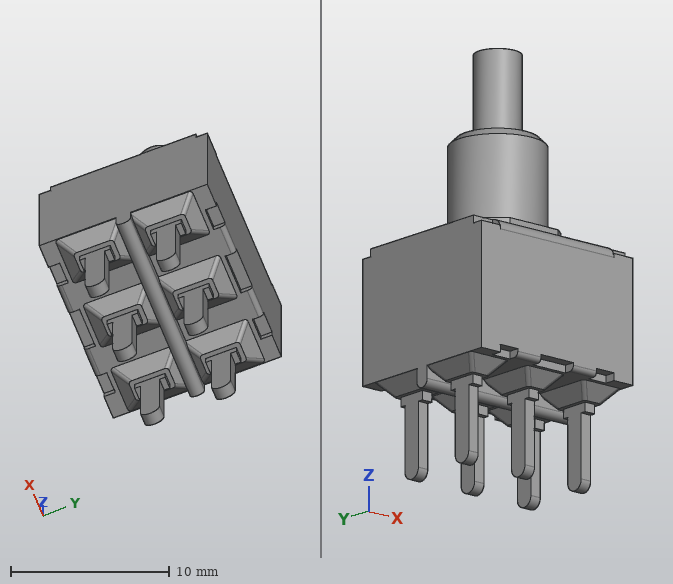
import cadquery as cq
import math

total_height = 28.42
pin_depth = 6.62
plunger_top = total_height - pin_depth

housing_length = 12.7
housing_width = 11.42
housing_height = 8.9

edge_depth = 0.77
edge_drop = 0.5
bend_length = 9.52
top_bend_radius = edge_depth
corner_length = (housing_length - bend_length) / 2

tab_length = 1.95
tab_offset = 2.33
tab_bend_radius = 0.35

flange_diameter = 8.01
flange_width = 6.93
flange_height = 1.02
bushing_diameter = 6.37
bushing_height = 7.3
bushing_chamfer = 0.5
bushing_flat_distance = 2.55
plunger_diameter = 3.1
flange_top = housing_height + flange_height
bushing_top = housing_height + bushing_height

rib_width = 1.0
rib_depth = 1.35

pin_pitch_x = 4.72
pin_pitch_y = 4.83
pin_thickness = 0.8
pin_width = 1.3
shoulder_width = 2.07
shoulder_depth = 1.62

seal_margin = 0.3
seal_height = 1.0
seal_spread = 0.88
seal_corner_radius = 0.3
seal_taper = math.degrees(math.atan2(seal_spread, seal_height))


def block(length, width, bottom, top):
    """Box centred on the Z axis between two heights."""
    return cq.Workplane("XY").workplane(offset=bottom).rect(length, width).extrude(top - bottom)


def cylinder(diameter, bottom, top):
    """Upright cylinder on the Z axis between two heights."""
    return cq.Workplane("XY").workplane(offset=bottom).circle(diameter / 2).extrude(top - bottom)


def make_housing():
    housing = block(housing_length, housing_width, 0, housing_height)
    housing = housing.edges("|X and >Z").fillet(top_bend_radius)

    corner_x = (housing_length - corner_length) / 2
    edge_y = (housing_width - edge_depth) / 2
    for side in (-1, 1):
        for end in (-1, 1):
            step = block(corner_length, edge_depth, housing_height - edge_drop, housing_height)
            ledge = block(
                corner_length, edge_depth, housing_height - top_bend_radius, housing_height - edge_drop
            )
            position = (end * corner_x, side * edge_y, 0)
            housing = housing.union(ledge.translate(position)).cut(step.translate(position))

        housing = housing.cut(block(bend_length, edge_depth, 0, edge_drop).translate((0, side * edge_y, 0)))
        outer_face = ">Y" if side > 0 else "<Y"
        tab = block(tab_length, edge_depth, 0, edge_drop)
        tab = tab.faces(outer_face).edges("<Z").fillet(tab_bend_radius)
        for end in (-1, 1):
            housing = housing.union(tab.translate((end * tab_offset, side * edge_y, 0)))
    return housing


def make_flange():
    flats = block(flange_diameter, flange_width, housing_height, flange_top)
    return cylinder(flange_diameter, housing_height, flange_top).intersect(flats)


def make_bushing():
    bushing = cylinder(bushing_diameter, housing_height, bushing_top)
    bushing = bushing.faces(">Z").chamfer(bushing_chamfer)
    flat_cutter = block(bushing_diameter, bushing_diameter, flange_top, bushing_top)
    return bushing.cut(flat_cutter.translate((bushing_flat_distance + bushing_diameter / 2, 0, 0)))


def make_rounded_blade(length, width, depth):
    """Blade hanging below Z = 0 with a full-round lower end across its width."""
    radius = width / 2
    return (
        cq.Workplane("YZ")
        .moveTo(-radius, 0)
        .lineTo(-radius, radius - depth)
        .threePointArc((0, -depth), (radius, radius - depth))
        .lineTo(radius, 0)
        .close()
        .extrude(length / 2, both=True)
    )


def make_terminal():
    pin = make_rounded_blade(pin_thickness, pin_width, pin_depth)
    shoulder = block(pin_thickness, shoulder_width, -shoulder_depth, 0)
    seal_overhang = seal_margin + seal_spread
    seal = (
        cq.Workplane("XY")
        .rect(pin_thickness + 2 * seal_overhang, shoulder_width + 2 * seal_overhang)
        .extrude(-seal_height, taper=seal_taper)
    )
    seal = seal.edges("not(#Z)").fillet(seal_corner_radius)
    return pin.union(shoulder).union(seal)


result = make_housing().union(make_flange()).union(make_bushing())
result = result.union(cylinder(plunger_diameter, housing_height, plunger_top))
result = result.union(make_rounded_blade(housing_length, rib_width, rib_depth))

terminal = make_terminal()
for column in (-1, 0, 1):
    for row in (-1, 1):
        result = result.union(terminal.translate((column * pin_pitch_x, row * pin_pitch_y / 2, 0)))